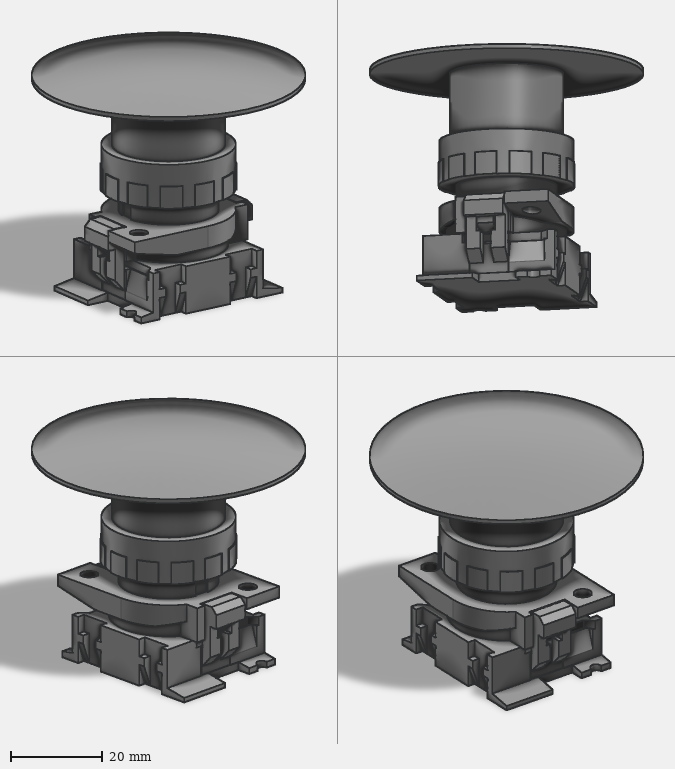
import cadquery as cq
import math

block_top = 10.9
flange_bottom = 13.9
flange_top = 18.95
ring_bottom = 24.0
ring_top = 34.0
cap_bottom = 49.0
cap_rim_top = 50.0
cap_top = 52.9

cap_radius = 30.0
stem_radius = 12.5
ring_radius = 14.75
tooth_radius = 15.0
tooth_height = 5.05
tooth_count = 12
tooth_angle = 19.0
turn_angle = -2.8

neck_radius = 11.05
neck_slot_width = 3.55
neck_slot_depth = 0.6
drum_radius = 13.15
flange_half_x = 14.75
flange_half_y = 19.55
flange_end_bottom = 16.3
flange_slope_start = 8.2
flange_arc_angle = 60.0
mount_hole_x = 9.7
mount_hole_y = 14.9
mount_hole_diameter = 4.0
key_inner_x = 4.9
key_outer_x = 7.2
key_end_y = 16.2
pocket_half_x = 4.8

block_half_x = 15.0
block_half_y = 14.75

clip_half_x = 4.45
clip_gap = 0.25
clip_back_y = block_half_y + clip_gap
clip_leg_y = 17.5
clip_head_y = 19.4
clip_head_bottom = 14.15
clip_head_chamfer = 1.5
clip_leg_bend = 6.95
clip_leg_bottom = 4.2
clip_slot_half_x = 1.2
clip_window_half_x = 2.15
bridge_bottom = 15.6
bridge_top = 18.6
catch_right_x = 1.6
catch_bottom = 11.05
catch_face_bottom = 12.7
catch_front_y = 16.9

foot_root_height = 1.9
foot_tip_height = 1.1
foot_end_y = 20.0
short_foot_end_y = 18.0
long_foot_inner_x = -2.35
short_foot_inner_x = 7.0
foot_notch_x = 11.05
foot_notch_y = 18.25
foot_notch_radius = 1.45

face_inset = 0.25
face_inset_top = 8.5
foot_gap_inset = 0.1
notch_floor = 8.95
notch_depth = 1.8
notch_left_x = -6.0
notch_right_x = 13.2
ramp_bottom = 4.15
ramp_depth = 1.5
ramp_end_x = 12.6

terminal_y = 9.5
terminal_wide = 7.0
terminal_narrow = 3.85
terminal_depth = 1.8
shoulder_top = 6.95
shoulder_bottom = 5.0


def box(x0, x1, y0, y1, z0, z1):
    """Box between two opposite corners."""
    return cq.Workplane("XY").box(x1 - x0, y1 - y0, z1 - z0, centered=False).translate((x0, y0, z0))


def cylinder(radius, z0, z1):
    """Upright cylinder on the Z axis."""
    return cq.Workplane("XY").workplane(offset=z0).circle(radius).extrude(z1 - z0)


def yz_prism(points, x0, x1):
    """Prism along X from a (y, z) outline."""
    return cq.Workplane("YZ").workplane(offset=x0).polyline(points).close().extrude(x1 - x0)


def half_turn(shape):
    """Copy of a shape turned 180 degrees about Z."""
    return shape.rotate((0, 0, 0), (0, 0, 1), 180)


def both_ends(shape):
    """The shape together with its half-turn copy."""
    return shape.union(half_turn(shape))


def polar(radius, degrees):
    """Point on a circle, with the angle counted from -Y towards +X."""
    angle = math.radians(degrees)
    return (radius * math.sin(angle), -radius * math.cos(angle))


def make_button():
    dome_rise = cap_top - cap_rim_top
    dome_radius = (cap_radius**2 + dome_rise**2) / (2 * dome_rise)
    mid_x = cap_radius / 2
    mid_z = cap_top - dome_radius + math.sqrt(dome_radius**2 - mid_x**2)
    profile = (
        cq.Workplane("XZ")
        .moveTo(0, ring_top)
        .lineTo(stem_radius, ring_top)
        .lineTo(stem_radius, cap_bottom)
        .lineTo(cap_radius, cap_bottom)
        .lineTo(cap_radius, cap_rim_top)
        .threePointArc((mid_x, mid_z), (0, cap_top))
        .close()
    )
    return profile.revolve(360, (0, 0, 0), (0, 1, 0))


def make_tooth(centre_angle):
    root_radius = (ring_radius + neck_radius) / 2
    start = centre_angle - tooth_angle / 2
    end = centre_angle + tooth_angle / 2
    return (
        cq.Workplane("XY")
        .workplane(offset=ring_bottom)
        .moveTo(*polar(root_radius, start))
        .lineTo(*polar(tooth_radius, start))
        .threePointArc(polar(tooth_radius, centre_angle), polar(tooth_radius, end))
        .lineTo(*polar(root_radius, end))
        .close()
        .extrude(tooth_height)
    )


def make_ring():
    ring = cylinder(ring_radius, ring_bottom, ring_top)
    for index in range(tooth_count):
        ring = ring.union(make_tooth(turn_angle + index * 360 / tooth_count))
    return ring.cut(cylinder(neck_radius, ring_bottom, ring_top))


def make_flange():
    arc_end = (-key_outer_x, -math.sqrt(flange_half_x**2 - key_outer_x**2))
    arc_mid = polar(flange_half_x, -flange_arc_angle)
    half = (
        cq.Workplane("XY")
        .workplane(offset=flange_bottom)
        .moveTo(-flange_half_x, 0)
        .threePointArc(arc_mid, arc_end)
        .lineTo(-key_outer_x, -block_half_y)
        .lineTo(pocket_half_x, -block_half_y)
        .lineTo(pocket_half_x, -flange_half_y)
        .lineTo(flange_half_x, -flange_half_y)
        .lineTo(flange_half_x, 0)
        .close()
        .extrude(flange_top - flange_bottom)
    )
    slope_cut = yz_prism(
        [
            (-flange_slope_start, flange_bottom),
            (-flange_half_y, flange_bottom),
            (-flange_half_y, flange_end_bottom),
        ],
        -flange_half_x,
        flange_half_x,
    )
    mount_hole = (
        cylinder(mount_hole_diameter / 2, flange_bottom, flange_top)
        .translate((mount_hole_x, -mount_hole_y, 0))
    )
    return both_ends(half.cut(slope_cut).cut(mount_hole))


def make_clip():
    clip = yz_prism(
        [
            (-clip_back_y, flange_top),
            (-clip_head_y + clip_head_chamfer, flange_top),
            (-clip_head_y, flange_top - clip_head_chamfer),
            (-clip_head_y, clip_head_bottom),
            (-clip_leg_y, clip_head_bottom),
            (-clip_leg_y, clip_leg_bend),
            (-clip_back_y, clip_leg_bottom),
        ],
        -clip_half_x,
        clip_half_x,
    )
    slot = box(-clip_slot_half_x, clip_slot_half_x, -clip_leg_y, -clip_back_y, clip_leg_bottom, block_top)
    window = box(
        -clip_window_half_x, clip_window_half_x, -clip_leg_y, -clip_back_y, block_top, clip_head_bottom
    )
    bridge = box(-clip_half_x, clip_half_x, -clip_back_y, -block_half_y, bridge_bottom, bridge_top)
    return clip.cut(slot).cut(window).union(bridge)


def make_catch():
    """Sloped catch on the back plate, seen through the window of the clip."""
    return yz_prism(
        [
            (-block_half_y, clip_head_bottom),
            (-catch_front_y, clip_head_bottom),
            (-catch_front_y, catch_face_bottom),
            (-block_half_y, catch_bottom),
        ],
        -clip_window_half_x,
        catch_right_x,
    )


def make_housing():
    key = box(-key_outer_x, -key_inner_x, -key_end_y, 0, block_top, flange_top)
    back_plate = box(-key_inner_x, pocket_half_x, -block_half_y, 0, block_top, flange_top)
    end_parts = key.union(back_plate).union(make_clip()).union(make_catch())
    neck = cylinder(neck_radius, flange_top, ring_top)
    neck_slot = box(
        -neck_slot_width / 2,
        neck_slot_width / 2,
        -neck_radius,
        -neck_radius + neck_slot_depth,
        flange_top,
        ring_top,
    ).rotate((0, 0, 0), (0, 0, 1), turn_angle)
    drum = cylinder(drum_radius, block_top, flange_top)
    return make_flange().union(drum).union(both_ends(end_parts)).union(neck.cut(neck_slot))


def make_feet():
    outline = [
        (0, 0),
        (-foot_end_y, 0),
        (-foot_end_y, foot_tip_height),
        (-block_half_y, foot_root_height),
        (0, foot_root_height),
    ]
    long_foot = yz_prism(outline, -block_half_x, long_foot_inner_x)
    short_foot = yz_prism(outline, short_foot_inner_x, block_half_x)
    tip = box(short_foot_inner_x, block_half_x, -foot_end_y, -short_foot_end_y, 0, foot_root_height)
    end_notch = cylinder(foot_notch_radius, 0, foot_root_height).translate((foot_notch_x, -foot_notch_y, 0))
    return long_foot.union(short_foot.cut(tip).cut(end_notch))


def make_clip_recess():
    inset_face = box(
        -clip_half_x, clip_half_x, -block_half_y, -block_half_y + face_inset, foot_root_height, face_inset_top
    )
    foot_gap = box(
        long_foot_inner_x,
        short_foot_inner_x,
        -block_half_y,
        -block_half_y + foot_gap_inset,
        0,
        foot_root_height,
    )
    notch = (
        cq.Workplane("XY")
        .workplane(offset=notch_floor)
        .polyline(
            [
                (notch_left_x, -block_half_y),
                (notch_right_x, -block_half_y),
                (notch_right_x - notch_depth, -block_half_y + notch_depth),
                (notch_left_x, -block_half_y + notch_depth),
            ]
        )
        .close()
        .extrude(block_top - notch_floor)
    )
    ramp = yz_prism(
        [
            (-block_half_y, ramp_bottom),
            (-block_half_y, notch_floor),
            (-block_half_y + ramp_depth, notch_floor),
        ],
        clip_half_x,
        ramp_end_x,
    )
    return inset_face.union(foot_gap).union(notch).union(ramp)


def make_terminal_slot(centre_y):
    face = -block_half_x
    floor = face + terminal_depth
    wide = box(face, floor, -terminal_wide / 2, terminal_wide / 2, shoulder_top, block_top)
    narrow = box(face, floor, -terminal_narrow / 2, terminal_narrow / 2, 0, block_top)
    undercut = (
        cq.Workplane("XZ")
        .polyline([(face, shoulder_bottom), (face, 0), (floor, 0)])
        .close()
        .extrude(terminal_wide / 2, both=True)
    )
    return wide.union(narrow).union(undercut).translate((0, centre_y, 0))


def make_contact_block():
    block = box(-block_half_x, block_half_x, -block_half_y, block_half_y, 0, block_top)
    block = block.union(both_ends(make_feet())).cut(both_ends(make_clip_recess()))
    for centre_y in (-terminal_y, terminal_y):
        block = block.cut(both_ends(make_terminal_slot(centre_y)))
    return block


button = make_button()
ring = make_ring()
housing = make_housing()
contact_block = make_contact_block()

bodies = [button, ring, housing, contact_block]
result = cq.Compound.makeCompound([body.solids().val() for body in bodies])